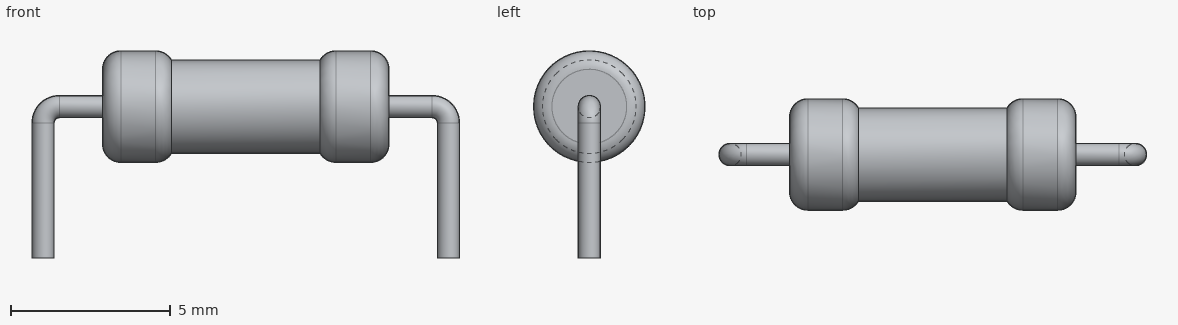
import cadquery as cq

overall_length = 13.4
overall_height = 6.5

body_length = 8.98
barrel_diameter = 2.93
cap_diameter = 3.5
cap_length = 2.24
cap_rounding = 0.58

lead_diameter = 0.7
bend_radius = 0.51

lead_radius = lead_diameter / 2
lead_x = overall_length / 2 - lead_radius
lead_bottom_z = cap_diameter / 2 - overall_height


def x_cylinder(start_x, length, diameter):
    """Cylinder on the X axis, running from start_x toward +X."""
    return cq.Workplane("YZ", origin=(start_x, 0, 0)).circle(diameter / 2).extrude(length)


def end_cap(start_x):
    """Cap with both rims rounded."""
    return x_cylinder(start_x, cap_length, cap_diameter).edges().fillet(cap_rounding)


def lead_wire():
    """One continuous wire through the body, turned down at each end."""
    straight_end_x = lead_x - bend_radius
    bend_mid_offset = bend_radius * (1 - 0.5**0.5)
    bend_mid_x = lead_x - bend_mid_offset
    path = (
        cq.Workplane("XZ")
        .moveTo(-lead_x, lead_bottom_z)
        .lineTo(-lead_x, -bend_radius)
        .threePointArc((-bend_mid_x, -bend_mid_offset), (-straight_end_x, 0))
        .lineTo(straight_end_x, 0)
        .threePointArc((bend_mid_x, -bend_mid_offset), (lead_x, -bend_radius))
        .lineTo(lead_x, lead_bottom_z)
    )
    profile = cq.Workplane("XY", origin=(-lead_x, 0, lead_bottom_z)).circle(lead_radius)
    return profile.sweep(path)


barrel_length = body_length - cap_length
result = x_cylinder(-barrel_length / 2, barrel_length, barrel_diameter)
for cap_start_x in (-body_length / 2, body_length / 2 - cap_length):
    result = result.union(end_cap(cap_start_x))
result = result.union(lead_wire())